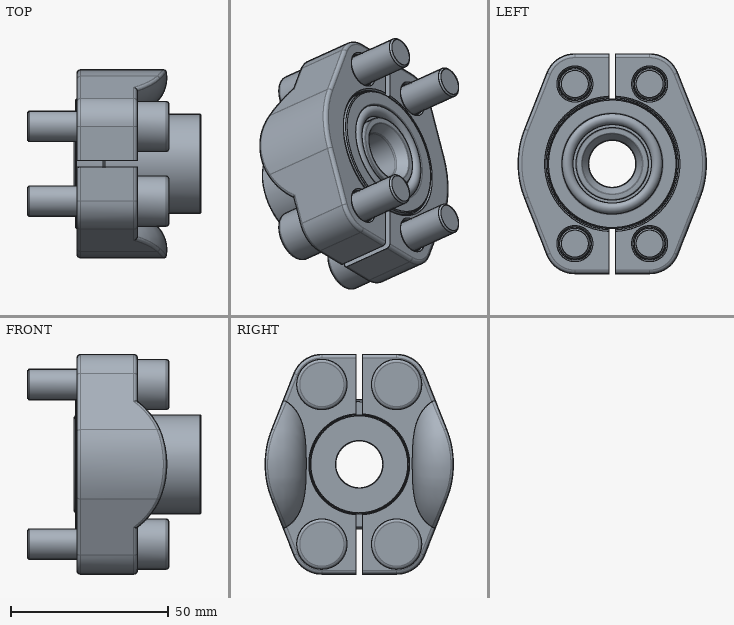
import cadquery as cq
import math


MATCH_TOLERANCE = 0.01

SCREW_Y = 11.9
SCREW_Z = 25.4
SHANK_D = 9.7
SHANK_PROTRUSION = 15.8
SHANK_TIP_CHAMFER = 0.55
HEAD_D = 16.0
HEAD_HEIGHT = 10.0
HEAD_ROUND = 1.0
SCREW_SPOTS = [(y, z) for y in (-SCREW_Y, SCREW_Y) for z in (-SCREW_Z, SCREW_Z)]

CLAMP_THICKNESS = 19.25
CLAMP_HEIGHT = 70.0
CLAMP_WIDTH = 60.0
CLAMP_SIDE_R = CLAMP_WIDTH / 2
CLAMP_CORNER_R = CLAMP_HEIGHT / 2 - SCREW_Z
CLAMP_EDGE_ROUND = 1.2
LOBE_RIM_ROUND = 1.0
SPLIT_GAP = 2.0
SCREW_HOLE_D = 10.5
HOLE_CHAMFER = 0.5

LOBE_TOP_X = 28.6
LOBE_TURN_R = 28.35
LOBE_ARC_R = 10.5
LOBE_ARC_Y = 27.3

OVERALL_LENGTH = 55.4
PIPE_D = 31.6
PIPE_END_X = OVERALL_LENGTH - SHANK_PROTRUSION
PIPE_END_CHAMFER = 0.35
FLANGE_D = 41.3
FLANGE_FACE_X = -0.5
FLANGE_BACK_X = 8.95
FLANGE_FRONT_CHAMFER = 0.35
FLANGE_BACK_CHAMFER = 0.7
BORE_D = 15.0
BORE_MOUTH_WIDTH = 2.2
BORE_MOUTH_DEPTH = 3.65
THROAT_ROUND = 1.05
LIP_ROUND = 0.2

GROOVE_OUTER_D = 32.0
GROOVE_INNER_D = 23.1
RING_WIRE_D = 3.5
RING_FRONT_X = -1.0
GROOVE_FLOOR_X = RING_FRONT_X + RING_WIRE_D

RECESS_D = 42.15
PIPE_HOLE_D = 32.2


def cylinder_x(diameter, start_x, end_x):
    """A cylinder about the X axis."""
    return cq.Workplane("YZ", origin=(start_x, 0, 0)).circle(diameter / 2).extrude(end_x - start_x)


def cone_x(start_d, end_d, start_x, length):
    """A truncated cone about the X axis."""
    base = cq.Vector(start_x, 0, 0)
    return cq.Workplane(cq.Solid.makeCone(start_d / 2, end_d / 2, length, base, cq.Vector(1, 0, 0)))


def clamp_outline(length):
    """The clamp outline, four corner arcs joined by tangents to the side arcs, extruded from X = 0."""
    spot_distance = math.hypot(SCREW_Y, SCREW_Z)
    spot_angle = math.atan2(SCREW_Z, SCREW_Y)
    tangent_angle = spot_angle - math.acos((CLAMP_SIDE_R - CLAMP_CORNER_R) / spot_distance)
    side_y = CLAMP_SIDE_R * math.cos(tangent_angle)
    side_z = CLAMP_SIDE_R * math.sin(tangent_angle)
    corner_y = SCREW_Y + CLAMP_CORNER_R * math.cos(tangent_angle)
    corner_z = SCREW_Z + CLAMP_CORNER_R * math.sin(tangent_angle)
    middle_angle = (tangent_angle + math.pi / 2) / 2
    middle_y = SCREW_Y + CLAMP_CORNER_R * math.cos(middle_angle)
    middle_z = SCREW_Z + CLAMP_CORNER_R * math.sin(middle_angle)
    top_z = CLAMP_HEIGHT / 2
    return (
        cq.Workplane("YZ")
        .moveTo(side_y, -side_z)
        .threePointArc((CLAMP_SIDE_R, 0), (side_y, side_z))
        .lineTo(corner_y, corner_z)
        .threePointArc((middle_y, middle_z), (SCREW_Y, top_z))
        .lineTo(-SCREW_Y, top_z)
        .threePointArc((-middle_y, middle_z), (-corner_y, corner_z))
        .lineTo(-side_y, side_z)
        .threePointArc((-CLAMP_SIDE_R, 0), (-side_y, -side_z))
        .lineTo(-corner_y, -corner_z)
        .threePointArc((-middle_y, -middle_z), (-SCREW_Y, -top_z))
        .lineTo(SCREW_Y, -top_z)
        .threePointArc((middle_y, -middle_z), (corner_y, -corner_z))
        .close()
        .extrude(length)
    )


def lobe():
    """The lobe on the +Y side: a turned form trimmed to the clamp outline, with a rounded rim."""
    axis_x = LOBE_TOP_X - LOBE_TURN_R
    arc_x = LOBE_TOP_X - LOBE_ARC_R
    inner_y = LOBE_ARC_Y - LOBE_ARC_R
    shoulder = LOBE_ARC_R * math.sqrt(0.5)
    outer_x = arc_x + math.sqrt(LOBE_ARC_R**2 - (CLAMP_SIDE_R - LOBE_ARC_Y) ** 2)
    turned = (
        cq.Workplane("XY")
        .moveTo(axis_x, inner_y)
        .lineTo(arc_x, inner_y)
        .threePointArc((arc_x + shoulder, LOBE_ARC_Y - shoulder), (outer_x, CLAMP_SIDE_R))
        .lineTo(axis_x, CLAMP_SIDE_R)
        .close()
        .revolve(360, (axis_x, 0, 0), (axis_x, 1, 0))
    )
    foot_x = CLAMP_THICKNESS / 2
    trimmed = turned.intersect(clamp_outline(LOBE_TOP_X).translate((foot_x, 0, 0)))
    rim = [edge for edge in trimmed.edges("%BSPLINE").vals() if edge.BoundingBox().xlen > MATCH_TOLERANCE]
    return trimmed.newObject(rim).fillet(LOBE_RIM_ROUND)


def clamp_body():
    """Both clamp halves in one piece, without the openings and the split."""
    plate = clamp_outline(CLAMP_THICKNESS).faces("<X or >X").edges().fillet(CLAMP_EDGE_ROUND)
    right_lobe = lobe()
    return plate.union(right_lobe).union(right_lobe.mirror("XZ"))


def clamp_halves():
    """The +Y and -Y clamp halves."""
    body = clamp_body()
    body = body.cut(cylinder_x(PIPE_HOLE_D, 0, LOBE_TOP_X))
    body = body.cut(cylinder_x(RECESS_D, 0, FLANGE_BACK_X))
    body = body.cut(mouth_chamfer(RECESS_D))
    for y, z in SCREW_SPOTS:
        body = body.cut(cylinder_x(SCREW_HOLE_D, 0, CLAMP_THICKNESS).translate((0, y, z)))
        body = body.cut(mouth_chamfer(SCREW_HOLE_D).translate((0, y, z)))
        body = body.cut(cylinder_x(HEAD_D, CLAMP_THICKNESS, LOBE_TOP_X).translate((0, y, z)))
    keep = cq.Workplane("XY").box(LOBE_TOP_X, CLAMP_HEIGHT, CLAMP_HEIGHT, centered=(False, False, True))
    keep = keep.translate((0, SPLIT_GAP / 2, 0))
    right_half = body.intersect(keep)
    return right_half, right_half.mirror("XZ")


def mouth_chamfer(hole_d):
    """The cone that chamfers a hole where it opens in the mating face."""
    return cone_x(hole_d + 2 * HOLE_CHAMFER, hole_d, 0, HOLE_CHAMFER)


def screw():
    """A cap screw along the X axis, its head resting on the back of the clamp."""
    shank = cylinder_x(SHANK_D, -SHANK_PROTRUSION, CLAMP_THICKNESS).faces("<X").chamfer(SHANK_TIP_CHAMFER)
    head = cylinder_x(HEAD_D, CLAMP_THICKNESS, CLAMP_THICKNESS + HEAD_HEIGHT)
    return shank.union(head.faces(">X").edges().fillet(HEAD_ROUND))


def o_ring():
    """The O-ring, seated on the groove floor and against the outer wall."""
    wire_r = RING_WIRE_D / 2
    ring_r = GROOVE_OUTER_D / 2 - wire_r
    torus = cq.Solid.makeTorus(ring_r, wire_r, cq.Vector(RING_FRONT_X + wire_r, 0, 0), cq.Vector(1, 0, 0))
    return cq.Workplane(torus)


def circles_at(body, x, diameters):
    """The circular edges of a body that lie at one place along X and have one of the diameters."""
    return [
        edge
        for edge in body.edges("%CIRCLE").vals()
        if abs(edge.Center().x - x) < MATCH_TOLERANCE
        and min(abs(2 * edge.radius() - diameter) for diameter in diameters) < MATCH_TOLERANCE
    ]


def nipple():
    """The flanged pipe, with a conical bore mouth and a groove for the O-ring in its face."""
    mouth_d = BORE_D + 2 * BORE_MOUTH_WIDTH
    flange = cylinder_x(FLANGE_D, FLANGE_FACE_X, FLANGE_BACK_X)
    flange = flange.faces("<X").chamfer(FLANGE_FRONT_CHAMFER).faces(">X").chamfer(FLANGE_BACK_CHAMFER)
    pipe = cylinder_x(PIPE_D, FLANGE_BACK_X, PIPE_END_X).faces(">X").chamfer(PIPE_END_CHAMFER)
    mouth = cone_x(mouth_d, BORE_D, FLANGE_FACE_X, BORE_MOUTH_DEPTH)
    groove = cylinder_x(GROOVE_OUTER_D, FLANGE_FACE_X, GROOVE_FLOOR_X)
    groove = groove.cut(cylinder_x(GROOVE_INNER_D, FLANGE_FACE_X, GROOVE_FLOOR_X))
    body = flange.union(pipe).cut(cylinder_x(BORE_D, FLANGE_FACE_X, PIPE_END_X)).cut(mouth)
    body = body.cut(groove)
    throat_x = FLANGE_FACE_X + BORE_MOUTH_DEPTH
    body = body.newObject(circles_at(body, throat_x, [BORE_D])).fillet(THROAT_ROUND)
    lips = circles_at(body, FLANGE_FACE_X, [GROOVE_OUTER_D, GROOVE_INNER_D, mouth_d])
    return body.newObject(lips).fillet(LIP_ROUND)


right_half, left_half = clamp_halves()
screws = [screw().translate((0, y, z)) for y, z in SCREW_SPOTS]

result = cq.Compound.makeCompound(
    [
        right_half.val(),
        left_half.val(),
        nipple().val(),
        o_ring().val(),
        *[one_screw.val() for one_screw in screws],
    ]
)